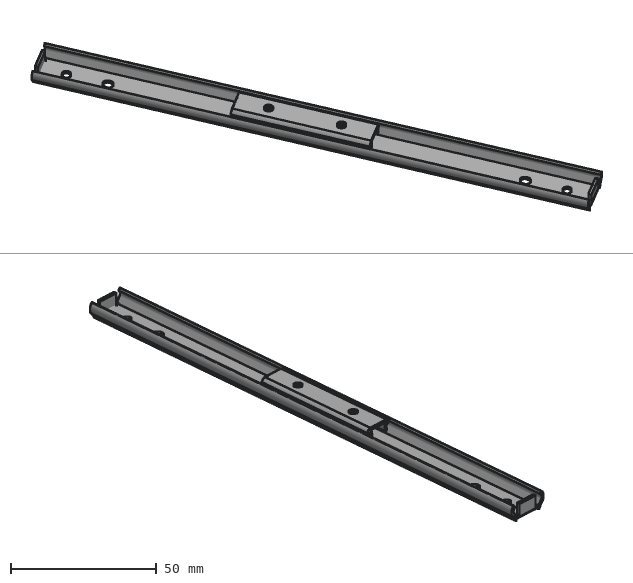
import cadquery as cq
import math

LENGTH = 200.0
WIDTH = 16.0
HEIGHT = 7.5
RAIL_SHEET = 1.1
SLIDER_SHEET = 1.0

RAIL_RACE_RADIUS = 1.9
RAIL_CURL_RADIUS = RAIL_RACE_RADIUS + RAIL_SHEET
RAIL_RACE_Y = WIDTH / 2 - RAIL_CURL_RADIUS
RAIL_RACE_Z = 4.2
FLOOR_HALF_WIDTH = 5.8
LIP_ANGLE = 51.0
CURL_FOOT_ANGLE = -53.0
RACE_FOOT_ANGLE = -25.0
INNER_CREASE_Y = 5.8
INNER_CREASE_Z = 2.0
INNER_FLOOR_HALF_WIDTH = 5.2
FLOOR_SETBACK = 0.8
RELIEF_WIDTH = 10.8

TAB_WIDTH = 8.0
TAB_TOP = 6.0
BEND_INNER_RADIUS = 0.3
BEND_OUTER_RADIUS = BEND_INNER_RADIUS + RAIL_SHEET

ROUND_HOLE_END_DISTANCE = 10.0
SLOT_END_DISTANCE = 25.0
RAIL_HOLE_DIAMETER = 3.2
SLOT_LENGTH = 3.8

SLIDER_LENGTH = 50.0
SLIDER_CENTER_X = -4.2
SLIDER_RACE_RADIUS = 1.5
SLIDER_CURL_RADIUS = SLIDER_RACE_RADIUS + SLIDER_SHEET
SLIDER_RACE_Y = 5.5
SLIDER_RACE_Z = 4.5
SLIDER_LEG_ANGLE = 222.0
PLATE_HALF_WIDTH = 4.0
SHOULDER_MID_Y = 5.0
SHOULDER_MID_Z = 7.0
SLIDER_HOLE_SPACING = 26.2
SLIDER_HOLE_DIAMETER = 2.5
COUNTERSINK_DIAMETER = 3.2
COUNTERSINK_ANGLE = 90.0


def arc_point(center, radius, angle):
    """Point (y, z) on a circle, at an angle in degrees measured from +Y towards +Z."""
    turn = math.radians(angle)
    return (center[0] + radius * math.cos(turn), center[1] + radius * math.sin(turn))


def extrude_section(half_section, length):
    """Extrude one half section along X, centred, and mirror it about the XZ plane."""
    half = half_section.close().extrude(length).translate((-length / 2, 0, 0))
    return half.union(half.mirror("XZ"))


def box_between(x_min, x_max, width, z_min, z_max):
    """Box centred on Y between the given X and Z limits."""
    return (
        cq.Workplane("XY")
        .box(x_max - x_min, width, z_max - z_min, centered=(False, True, False))
        .translate((x_min, 0, z_min))
    )


def rail_profile():
    """Flat floor with a wall on each side that curls round its race axis."""
    axis = (RAIL_RACE_Y, RAIL_RACE_Z)
    half = (
        cq.Workplane("YZ")
        .lineTo(FLOOR_HALF_WIDTH, 0)
        .lineTo(*arc_point(axis, RAIL_CURL_RADIUS, CURL_FOOT_ANGLE))
        .threePointArc(
            arc_point(axis, RAIL_CURL_RADIUS, 0), arc_point(axis, RAIL_CURL_RADIUS, LIP_ANGLE)
        )
        .lineTo(*arc_point(axis, RAIL_RACE_RADIUS, LIP_ANGLE))
        .threePointArc(
            arc_point(axis, RAIL_RACE_RADIUS, 0), arc_point(axis, RAIL_RACE_RADIUS, RACE_FOOT_ANGLE)
        )
        .lineTo(INNER_CREASE_Y, INNER_CREASE_Z)
        .lineTo(INNER_FLOOR_HALF_WIDTH, RAIL_SHEET)
        .lineTo(0, RAIL_SHEET)
    )
    return extrude_section(half, LENGTH)


def stop_tab():
    """Sheet tab at the -X end: a short strip of floor bent upwards."""
    end_x = -LENGTH / 2
    bend_x = end_x + BEND_OUTER_RADIUS
    diagonal = math.sqrt(0.5)
    return (
        cq.Workplane("XZ", origin=(0, TAB_WIDTH / 2, 0))
        .moveTo(bend_x, 0)
        .threePointArc(
            (bend_x - BEND_OUTER_RADIUS * diagonal, BEND_OUTER_RADIUS * (1 - diagonal)),
            (end_x, BEND_OUTER_RADIUS),
        )
        .lineTo(end_x, TAB_TOP)
        .lineTo(end_x + RAIL_SHEET, TAB_TOP)
        .lineTo(end_x + RAIL_SHEET, BEND_OUTER_RADIUS)
        .threePointArc(
            (bend_x - BEND_INNER_RADIUS * diagonal, BEND_OUTER_RADIUS - BEND_INNER_RADIUS * diagonal),
            (bend_x, RAIL_SHEET),
        )
        .close()
        .extrude(TAB_WIDTH)
    )


def make_rail():
    rail = rail_profile()
    tab = stop_tab()
    half_length = LENGTH / 2

    floor_end = box_between(
        -half_length, -half_length + FLOOR_SETBACK, RELIEF_WIDTH, 0, INNER_CREASE_Z
    ).union(box_between(-half_length, -half_length + BEND_OUTER_RADIUS, TAB_WIDTH, 0, RAIL_SHEET))
    for cut, bend in ((floor_end, tab), (floor_end.mirror("YZ"), tab.mirror("YZ"))):
        rail = rail.cut(cut).union(bend)

    round_holes = (
        cq.Workplane("XY")
        .rarray(LENGTH - 2 * ROUND_HOLE_END_DISTANCE, 2, 2, 1)
        .circle(RAIL_HOLE_DIAMETER / 2)
        .extrude(RAIL_SHEET)
    )
    slots = (
        cq.Workplane("XY")
        .rarray(LENGTH - 2 * SLOT_END_DISTANCE, 2, 2, 1)
        .slot2D(SLOT_LENGTH, RAIL_HOLE_DIAMETER)
        .extrude(RAIL_SHEET)
    )
    return rail.cut(round_holes).cut(slots)


def make_slider():
    """Plate with rounded shoulders and curled legs that form the inner ball races."""
    axis = (SLIDER_RACE_Y, SLIDER_RACE_Z)
    plate_underside = HEIGHT - SLIDER_SHEET
    leg_top_angle = 180 - math.degrees(math.asin((plate_underside - SLIDER_RACE_Z) / SLIDER_CURL_RADIUS))
    half = (
        cq.Workplane("YZ")
        .moveTo(0, HEIGHT)
        .lineTo(PLATE_HALF_WIDTH, HEIGHT)
        .threePointArc(
            (SHOULDER_MID_Y, SHOULDER_MID_Z), arc_point(axis, SLIDER_RACE_RADIUS, 90)
        )
        .threePointArc(
            arc_point(axis, SLIDER_RACE_RADIUS, 180),
            arc_point(axis, SLIDER_RACE_RADIUS, SLIDER_LEG_ANGLE),
        )
        .lineTo(*arc_point(axis, SLIDER_CURL_RADIUS, SLIDER_LEG_ANGLE))
        .threePointArc(
            arc_point(axis, SLIDER_CURL_RADIUS, 180),
            arc_point(axis, SLIDER_CURL_RADIUS, leg_top_angle),
        )
        .lineTo(0, plate_underside)
    )
    return (
        extrude_section(half, SLIDER_LENGTH)
        .faces(">Z")
        .workplane(origin=(0, 0, HEIGHT))
        .rarray(SLIDER_HOLE_SPACING, 2, 2, 1)
        .cskHole(SLIDER_HOLE_DIAMETER, COUNTERSINK_DIAMETER, COUNTERSINK_ANGLE)
        .translate((SLIDER_CENTER_X, 0, 0))
    )


rail = make_rail()
slider = make_slider()

result = cq.Compound.makeCompound([rail.val(), slider.val()])